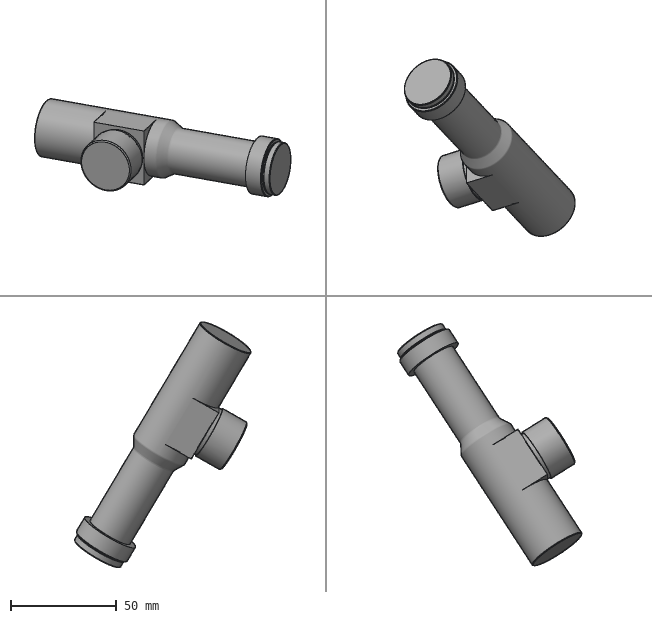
import cadquery as cq
import math

total_length = 121.2
body_radius = 14.0
body_end_chamfer = 0.4
pipe_radius = 11.0
taper_start = 62.9
taper_angle = 30.0
taper_fillet = 1.5

collar_start = 109.2
collar_end = 117.3
collar_chamfer = 0.4
groove_radius = 12.4
groove_width = 0.7
lip_radius = 12.7
lip_chamfer = 0.4

branch_x = 43.8
branch_radius = 13.0
overall_depth = 43.9
branch_reach = overall_depth - body_radius
branch_neck_radius = 12.4
branch_neck_length = 2.2
branch_chamfer = 0.6
block_width = 2 * branch_radius

taper_length = (body_radius - pipe_radius) / math.tan(math.radians(taper_angle))
taper_end = taper_start + taper_length


def cylinder_x(start, end, radius):
    """Cylinder on the X axis between two X positions."""
    return cq.Workplane("YZ", origin=(start, 0, 0)).circle(radius).extrude(end - start)


def cylinder_branch(start, end, radius):
    """Cylinder on the branch axis between two distances from the main axis."""
    return cq.Workplane("XZ", origin=(branch_x, -start, 0)).circle(radius).extrude(end - start)


def make_body():
    """Thick body that tapers down to the pipe with rounded transitions."""
    profile = [
        (0, 0),
        (0, body_radius),
        (taper_start, body_radius),
        (taper_end, pipe_radius),
        (collar_start, pipe_radius),
        (collar_start, 0),
    ]
    body = cq.Workplane("XY").polyline(profile).close().revolve(360, (0, 0, 0), (1, 0, 0))
    body = body.faces("<X").edges().chamfer(body_end_chamfer)
    return body.faces("%CONE").faces(">X").edges().fillet(taper_fillet)


def make_collar():
    """Collar, groove and lip at the +X end."""
    groove_end = collar_end + groove_width
    collar = cylinder_x(collar_start, collar_end, body_radius).faces(">X").edges().chamfer(collar_chamfer)
    groove = cylinder_x(collar_end, groove_end, groove_radius)
    lip = cylinder_x(groove_end, total_length, lip_radius).faces(">X").edges().chamfer(lip_chamfer)
    return collar.union(groove).union(lip)


def make_branch():
    """Square-sided block carrying a necked round spigot."""
    neck_end = body_radius + branch_neck_length
    block = cq.Workplane("XY").box(block_width, body_radius, 2 * body_radius)
    block = block.translate((branch_x, -body_radius / 2, 0))
    neck = cylinder_branch(body_radius, neck_end, branch_neck_radius)
    spigot = cylinder_branch(neck_end, branch_reach, branch_radius).faces("<Y").edges().chamfer(branch_chamfer)
    return block.union(neck).union(spigot)


result = make_body().union(make_collar()).union(make_branch())